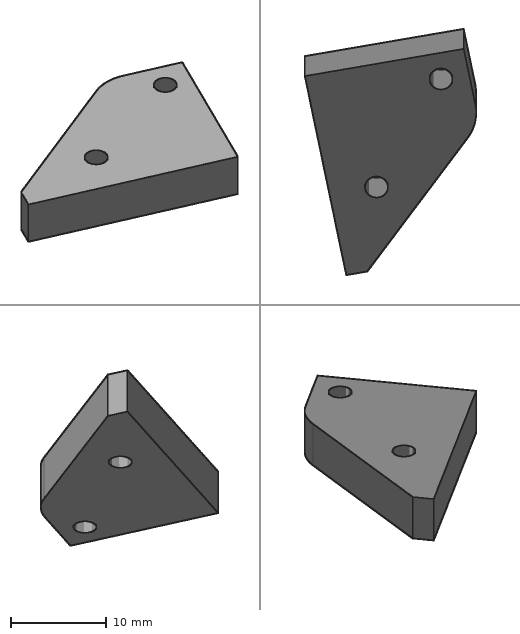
import cadquery as cq

width = 16.96
length = 23.4
thickness = 5.0

front_flat = 2.25
corner_radius = 5.0
cut_size = width - front_flat

hole_diameter = 2.4
corner_hole_inset = 3.0
side_hole_from_right = 5.0
side_hole_from_back = 14.0

hole_centers = [
    (corner_hole_inset, length - corner_hole_inset),
    (width - side_hole_from_right, length - side_hole_from_back),
]


def make_plate():
    """Plate with one corner cut at 45 degrees and the obtuse left corner rounded."""
    outline = [
        (0, length),
        (width, length),
        (width, 0),
        (cut_size, 0),
        (0, cut_size),
    ]
    plate = cq.Workplane("XY").polyline(outline).close().extrude(thickness)
    left_corner = cq.selectors.NearestToPointSelector((0, cut_size, thickness / 2))
    return plate.edges("|Z").edges(left_corner).fillet(corner_radius)


def make_holes():
    """Cylinders that pass through the full thickness."""
    return cq.Workplane("XY").pushPoints(hole_centers).circle(hole_diameter / 2).extrude(thickness)


result = make_plate().cut(make_holes())